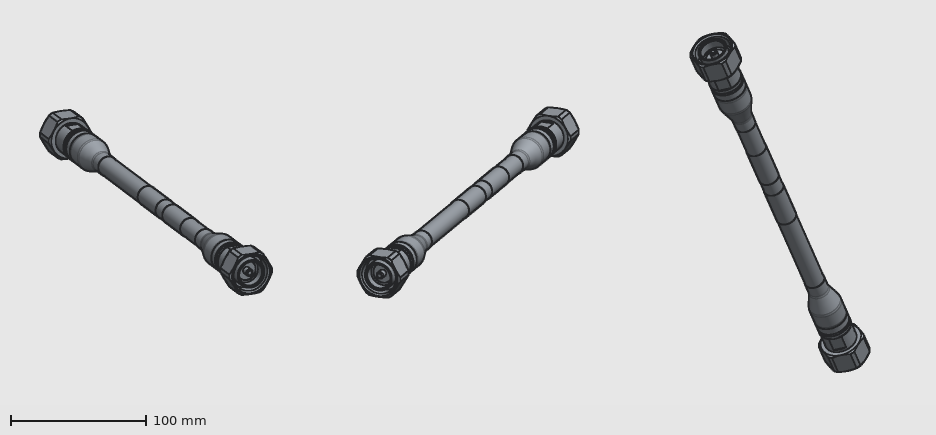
import cadquery as cq
import math

overall_length = 340.5
half_length = overall_length / 2

cable_radius = 7.5
label_thickness = 0.27
label_radius = cable_radius + label_thickness
label_length = 32.0
label_centers = (0.0, 44.0)

nut_length = 17.7
nut_across_flats = 31.5
nut_corner_radius = 17.5
nut_end_radius = 15.5
nut_end_chamfer = 1.0

neck_radius = 12.3
neck_flat_start = 20.0
neck_flat_height = 11.2

body_start = 32.5
body_radius = 12.5
body_end = 58.2
tail_start = 73.5
connector_length = 83.8
tail_radius = label_radius
taper_blend_radius = 6.5
edge_search_margin = 0.5

groove_depth = 0.17
front_groove_start = 35.5
front_groove_width = 2.0
rear_groove_start = 43.5
rear_groove_width = 2.0
rear_groove_floor_width = 1.0

bore_radius = 13.5
bore_depth = 10.2
bore_chamfer = 1.5
contact_outer_radius = 11.0
contact_inner_radius = 9.2
contact_chamfer = 0.7
contact_setback = 0.5
contact_depth = 8.2
floor_recess_radius = 7.5
floor_recess_depth = 0.7
pin_radius = 2.7
pin_chamfer = 1.0
pin_setback = 2.5

cable_length = overall_length - 2 * connector_length


def revolve_about_x(points):
    """Solid of revolution about X from an outline of (x, radius) points."""
    return cq.Workplane("XZ").polyline(points).close().revolve(360, (0, 0), (1, 0))


def tube(start, length, outer_radius, inner_radius):
    """Round tube along X."""
    return revolve_about_x([
        (start, inner_radius),
        (start, outer_radius),
        (start + length, outer_radius),
        (start + length, inner_radius),
    ])


def make_nut():
    """Hexagonal nut with flats facing +Z and -Z, and corners rounded and chamfered."""
    across_corners = nut_across_flats / math.cos(math.pi / 6)
    hexagon = cq.Workplane("YZ").polygon(6, across_corners).extrude(nut_length)
    turned = revolve_about_x([
        (0, 0),
        (0, nut_end_radius),
        (nut_end_chamfer, nut_corner_radius),
        (nut_length - nut_end_chamfer, nut_corner_radius),
        (nut_length, nut_end_radius),
        (nut_length, 0),
    ])
    return hexagon.intersect(turned)


def make_neck():
    """Round neck behind the nut with wrench flats at the top and bottom."""
    neck = cq.Workplane("YZ").circle(neck_radius).extrude(body_start)
    flat_length = body_start - neck_flat_start
    flat_depth = neck_radius - neck_flat_height
    for side in (1, -1):
        flat = cq.Workplane("XY").box(flat_length, 2 * neck_radius, flat_depth).translate((
            neck_flat_start + flat_length / 2,
            0,
            side * (neck_flat_height + flat_depth / 2),
        ))
        neck = neck.cut(flat)
    return neck


def make_shell():
    """Grooved body that tapers down to the cable tail, blended at both ends of the taper."""
    shell = revolve_about_x([
        (body_start, 0),
        (body_start, body_radius),
        (body_end, body_radius),
        (tail_start, tail_radius),
        (connector_length, tail_radius),
        (connector_length, 0),
    ])
    for corner in (body_end, tail_start):
        window = cq.selectors.BoxSelector(
            (corner - edge_search_margin, -body_radius, -body_radius),
            (corner + edge_search_margin, body_radius, body_radius),
        )
        shell = shell.edges("%CIRCLE").edges(window).fillet(taper_blend_radius)

    floor_radius = body_radius - groove_depth
    front_groove = tube(front_groove_start, front_groove_width, body_radius, floor_radius)
    rear_groove = revolve_about_x([
        (rear_groove_start, body_radius),
        (rear_groove_start, floor_radius),
        (rear_groove_start + rear_groove_floor_width, floor_radius),
        (rear_groove_start + rear_groove_width, body_radius),
    ])
    return shell.cut(front_groove).cut(rear_groove)


def make_socket():
    """Space removed from the mating end: the bore around a set-back contact ring and its pin."""
    bore = revolve_about_x([
        (0, 0),
        (0, bore_radius + bore_chamfer),
        (bore_chamfer, bore_radius),
        (bore_depth, bore_radius),
        (bore_depth, 0),
    ])
    floor = contact_depth + floor_recess_depth
    contact_ring = revolve_about_x([
        (bore_depth, 0),
        (bore_depth, contact_outer_radius),
        (contact_setback, contact_outer_radius),
        (contact_setback, contact_inner_radius + contact_chamfer),
        (contact_setback + contact_chamfer, contact_inner_radius),
        (contact_depth, contact_inner_radius),
        (contact_depth, floor_recess_radius),
        (floor, floor_recess_radius),
        (floor, 0),
    ])
    pin = revolve_about_x([
        (floor, 0),
        (floor, pin_radius),
        (pin_setback + pin_chamfer, pin_radius),
        (pin_setback, pin_radius - pin_chamfer),
        (pin_setback, 0),
    ])
    return bore.cut(contact_ring).cut(pin)


def make_connector():
    """Connector with its mating face at X = 0 and its cable tail toward +X."""
    return make_nut().union(make_neck()).union(make_shell()).cut(make_socket())


def make_cable():
    """Round cable between the connector tails."""
    return revolve_about_x([
        (-cable_length / 2, 0),
        (-cable_length / 2, cable_radius),
        (cable_length / 2, cable_radius),
        (cable_length / 2, 0),
    ])


def make_label(center):
    """Thin sleeve wrapped around the cable."""
    return tube(center - label_length / 2, label_length, label_radius, cable_radius)


cable = make_cable()
labels = [make_label(center) for center in label_centers]

connectors = []
for turn in (0, 180):
    connector = make_connector().translate((-half_length, 0, 0))
    connectors.append(connector.rotate((0, 0, 0), (0, 0, 1), turn))

result = cq.Compound.makeCompound([body.val() for body in [cable, *labels, *connectors]])